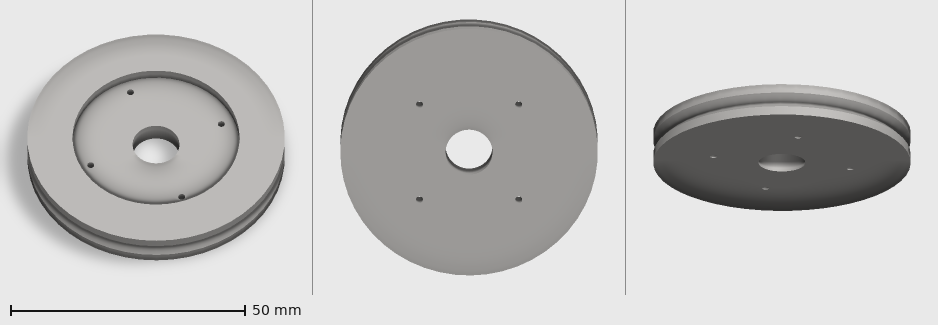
import cadquery as cq

outer_diameter = 55.0
thickness = 7.0
groove_width = 3.15
groove_depth = groove_width / 2
recess_diameter = 35.7
recess_depth = 2.5
bore_diameter = 10.0
bolt_hole_diameter = 1.5
bolt_circle_diameter = 30.0
bolt_hole_count = 4

outer_radius = outer_diameter / 2
mid_height = thickness / 2


def grooved_disc():
    """Solid disc revolved from a half section with a centred V-groove."""
    return (
        cq.Workplane("XZ")
        .moveTo(0, 0)
        .lineTo(outer_radius, 0)
        .lineTo(outer_radius, mid_height - groove_width / 2)
        .lineTo(outer_radius - groove_depth, mid_height)
        .lineTo(outer_radius, mid_height + groove_width / 2)
        .lineTo(outer_radius, thickness)
        .lineTo(0, thickness)
        .close()
        .revolve(360, (0, 0, 0), (0, 1, 0))
    )


def top_recess():
    """Round recess cut down from the top face."""
    return (
        cq.Workplane("XY")
        .workplane(offset=thickness - recess_depth)
        .circle(recess_diameter / 2)
        .extrude(recess_depth)
    )


def centre_bore():
    """Through bore on the axis."""
    return cq.Workplane("XY").circle(bore_diameter / 2).extrude(thickness)


def bolt_holes():
    """Through holes on the X and Y axes around the bore."""
    return (
        cq.Workplane("XY")
        .polarArray(bolt_circle_diameter / 2, 0, 360, bolt_hole_count)
        .circle(bolt_hole_diameter / 2)
        .extrude(thickness)
    )


result = grooved_disc().cut(top_recess()).cut(centre_bore()).cut(bolt_holes())